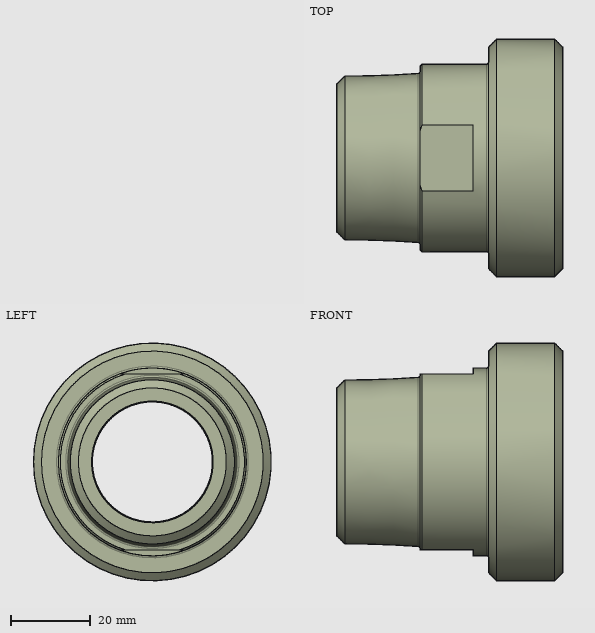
import cadquery as cq
import math

total_length = 56.5
shoulder_x = 20.8
flat_end_x = 34.1
flange_x = 37.95

flange_radius = 59.5 / 2
shoulder_radius = 47.0 / 2
nose_radius = 20.5
nose_root_radius = 21.2
bore_radius = 30.0 / 2

large_chamfer = 2.0
small_edge = 0.5
flat_half_height = 22.0
bore_chamfer = 0.25


def turned_body():
    """Revolve the nose, shoulder and flange about the X axis."""
    nose_root_x = shoulder_x - small_edge
    flare_length = nose_root_x - large_chamfer
    flare_rise = nose_root_radius - nose_radius
    flare_radius = (flare_length**2 + flare_rise**2) / (2 * flare_rise)
    flare_mid_x = flare_length / 2
    flare_mid_rise = flare_radius - math.sqrt(flare_radius**2 - flare_mid_x**2)

    arc_mid = small_edge * math.sqrt(0.5)
    root_top_radius = nose_root_radius + small_edge
    shoulder_root_x = flange_x - small_edge
    shoulder_root_top = shoulder_radius + small_edge

    profile = (
        cq.Workplane("XY")
        .moveTo(0, 0)
        .lineTo(0, nose_radius - large_chamfer)
        .lineTo(large_chamfer, nose_radius)
        .threePointArc(
            (large_chamfer + flare_mid_x, nose_radius + flare_mid_rise),
            (nose_root_x, nose_root_radius),
        )
        .threePointArc(
            (nose_root_x + arc_mid, root_top_radius - arc_mid),
            (shoulder_x, root_top_radius),
        )
        .lineTo(shoulder_x, shoulder_radius - small_edge)
        .lineTo(shoulder_x + small_edge, shoulder_radius)
        .lineTo(shoulder_root_x, shoulder_radius)
        .threePointArc(
            (shoulder_root_x + arc_mid, shoulder_root_top - arc_mid),
            (flange_x, shoulder_root_top),
        )
        .lineTo(flange_x, flange_radius - large_chamfer)
        .lineTo(flange_x + large_chamfer, flange_radius)
        .lineTo(total_length - large_chamfer, flange_radius)
        .lineTo(total_length, flange_radius - large_chamfer)
        .lineTo(total_length, 0)
        .close()
    )
    return profile.revolve(360, (0, 0, 0), (1, 0, 0))


def wrench_flat_cutter(side):
    """Block that removes the shoulder beyond one flat; side is +1 or -1 in Z."""
    length = flat_end_x - shoulder_x
    height = flange_radius - flat_half_height
    center = (
        shoulder_x + length / 2,
        0,
        side * (flat_half_height + height / 2),
    )
    return cq.Workplane("XY").box(length, 2 * flange_radius, height).translate(center)


result = turned_body()
for side in (1, -1):
    result = result.cut(wrench_flat_cutter(side))

bore = cq.Workplane("YZ").circle(bore_radius).extrude(total_length)
result = result.cut(bore)

bore_entry = result.faces("<X").edges(cq.selectors.RadiusNthSelector(0))
result = bore_entry.chamfer(bore_chamfer)